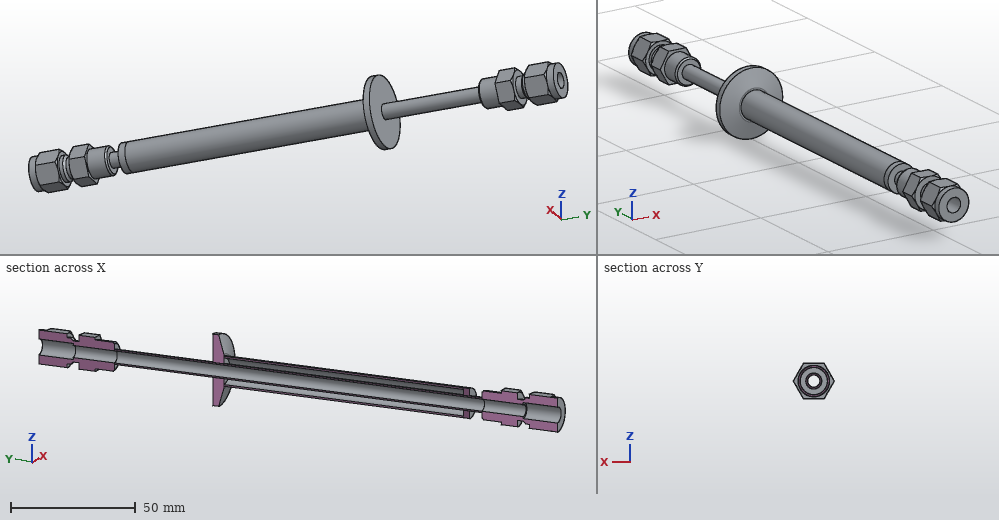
import cadquery as cq
import math

total_length = 230.6

fitting_length = 33.7
hex_across_flats = 14.3
nut_collar_length = 3.0
nut_length = 12.7
thread_diameter = 11.0
thread_end = 14.3
neck_start = 15.2
neck_diameter = 9.0
body_hex_start = 17.8
body_hex_end = 25.1
barrel_diameter = 12.2
barrel_chamfer = 0.7
socket_diameter = 6.5
socket_depth = 15.2
hex_chamfer_angle = 30.0

tube_diameter = 6.5
bore_diameter = 4.8

flange_diameter = 30.0
flange_back = 38.0
flange_rim_thickness = 2.8
flange_thickness = 5.0
flange_face_diameter = 14.3

sleeve_diameter = 12.7
sleeve_bore_diameter = 10.8
cap_front = -76.3
cap_thickness = 3.0

half_length = total_length / 2
hex_across_corners = hex_across_flats / math.cos(math.pi / 6)
hex_corner_height = (hex_across_corners - hex_across_flats) / 2
hex_chamfer_length = hex_corner_height * math.tan(math.radians(hex_chamfer_angle))
tube_length = total_length - 2 * fitting_length
flange_front = flange_back - flange_thickness
cap_back = cap_front + cap_thickness


def revolved(profile):
    """Turn (radius, y) points around the Y axis."""
    return cq.Workplane("XY").polyline(profile).close().revolve(360, (0, 0), (0, 1))


def cylinder(diameter, start, end):
    """Solid cylinder on the Y axis from y = start to y = end."""
    radius = diameter / 2
    return revolved([(0, start), (radius, start), (radius, end), (0, end)])


def ring(outer_diameter, inner_diameter, start, end):
    """Hollow cylinder on the Y axis from y = start to y = end."""
    outer, inner = outer_diameter / 2, inner_diameter / 2
    return revolved([(inner, start), (outer, start), (outer, end), (inner, end)])


def chamfered_hex(start, end, chamfer_end):
    """Hexagon along Y with corners on X; corners are cut back at the start and optionally at the end."""
    prism = (
        cq.Workplane("XZ", origin=(0, start, 0))
        .polygon(6, hex_across_corners)
        .extrude(start - end)
    )
    flat, corner = hex_across_flats / 2, hex_across_corners / 2
    envelope = [(0, start), (flat, start), (corner, start + hex_chamfer_length)]
    if chamfer_end:
        envelope += [(corner, end - hex_chamfer_length), (flat, end)]
    else:
        envelope += [(corner, end)]
    envelope += [(0, end)]
    return prism.intersect(revolved(envelope))


def make_fitting():
    """Compression fitting with its outer end at y = 0 and its barrel toward +Y."""
    thread, neck, barrel = thread_diameter / 2, neck_diameter / 2, barrel_diameter / 2
    core = revolved([
        (0, nut_collar_length),
        (thread, nut_collar_length),
        (thread, thread_end),
        (neck, neck_start),
        (neck, body_hex_start),
        (barrel, body_hex_start),
        (barrel, fitting_length - barrel_chamfer),
        (barrel - barrel_chamfer, fitting_length),
        (0, fitting_length),
    ])
    nut_collar = cylinder(hex_across_flats, 0, nut_collar_length)
    nut_hex = chamfered_hex(nut_collar_length, nut_length, chamfer_end=True)
    body_hex = chamfered_hex(body_hex_start, body_hex_end, chamfer_end=False)
    bore = cylinder(bore_diameter, 0, fitting_length)
    tube_socket = cylinder(socket_diameter, 0, socket_depth)
    return core.union(nut_collar).union(nut_hex).union(body_hex).cut(bore).cut(tube_socket)


def make_flange():
    """Clamp flange: straight rim at the back, conical front, bored for the inner tube."""
    bore, rim, face = tube_diameter / 2, flange_diameter / 2, flange_face_diameter / 2
    return revolved([
        (bore, flange_back),
        (rim, flange_back),
        (rim, flange_back - flange_rim_thickness),
        (face, flange_front),
        (bore, flange_front),
    ])


fittings = []
for turn in (0, 180):
    placed = make_fitting().translate((0, -half_length, 0)).rotate((0, 0, 0), (0, 0, 1), turn)
    fittings.append(placed.val())

inner_tube = ring(tube_diameter, bore_diameter, -tube_length / 2, tube_length / 2)
flange = make_flange()
sleeve = ring(sleeve_diameter, sleeve_bore_diameter, cap_back, flange_front)
cap = ring(sleeve_diameter, tube_diameter, cap_front, cap_back)

result = cq.Compound.makeCompound([
    *fittings,
    inner_tube.val(),
    flange.val(),
    sleeve.val(),
    cap.val(),
])